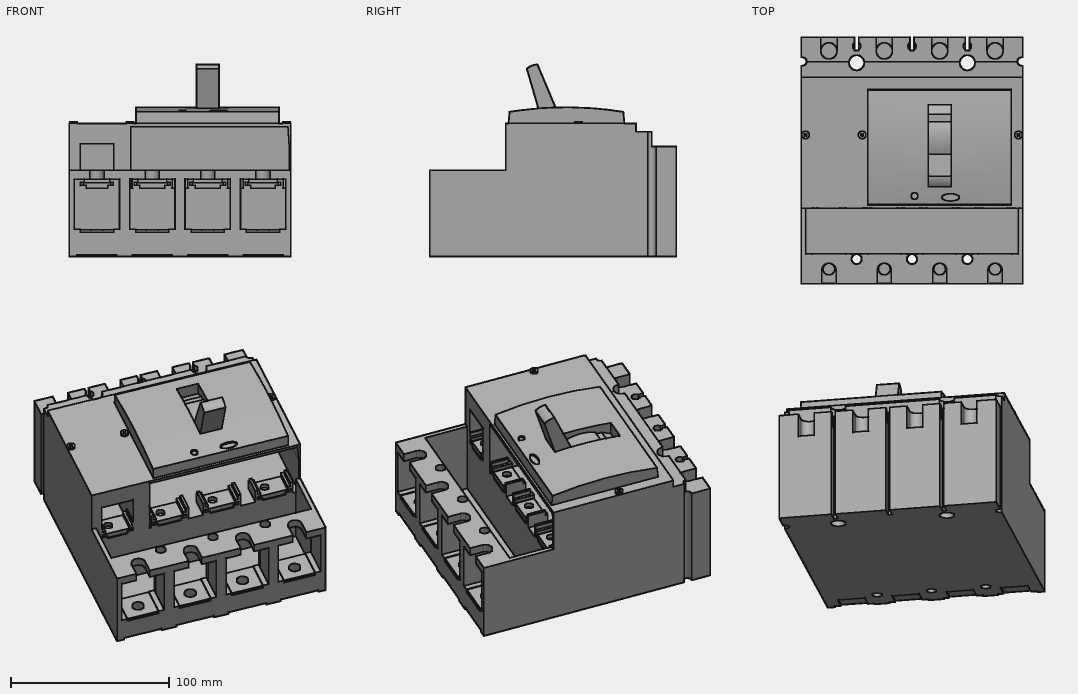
import cadquery as cq
import math


WIDTH = 140.0
LENGTH = 156.0
TOTAL_HEIGHT = 121.57
FRONT_Y = -LENGTH / 2
REAR_Y = LENGTH / 2
SHELF_Z = 54.7
BODY_TOP_Z = 84.2
STEP_Z = 79.1
REAR_SHELF_Z = 69.8
BODY_FRONT_Y = -30.0
STEP_Y = 52.6
REAR_WALL_Y = 62.5

POLE_PITCH = 35.0
POLE_COUNT = 4
POLE_X = [POLE_PITCH * (i - (POLE_COUNT - 1) / 2) for i in range(POLE_COUNT)]
BETWEEN_POLES_X = [x + POLE_PITCH / 2 for x in POLE_X[:-1]]

WELL_WIDTH = 134.0
WELL_FRONT_Y = -59.0
WELL_FLOOR_Z = 5.0
POCKET_FLOOR_Z = 17.4
POCKET_WIDTH = 28.4
POCKET_TOP_Z = 49.0
ACCESS_SLOT_RADIUS = 4.5
ACCESS_SLOT_Y = -69.4
SHELF_HOLE_RADIUS = 3.1
SHELF_HOLE_Y = -62.3
LUG_WIDTH = 21.0
LUG_SEAT_Z = 15.5
LUG_TOP_Z = 16.9
LUG_SETBACK = 0.5
LUG_HOLE_RADIUS = 3.7
LUG_HOLE_Y = -68.6
LUG_HOLE_DEPTH = 8.0
FOOT_RELIEF_HEIGHT = 1.3
FOOT_RELIEF_WIDE = 25.2
FOOT_RELIEF_WIDE_DEPTH = 1.5
FOOT_RELIEF_NARROW = 17.6
FOOT_RELIEF_NARROW_DEPTH = 12.0

CAVITY_FLOOR_Z = 43.3
CAVITY_DEPTH = 40.0
SINGLE_OPENING_WIDTH = 21.0
SINGLE_OPENING_TOP_Z = 71.4
WIDE_OPENING_LEFT_X = -31.0
WIDE_OPENING_TOP_Z = 82.2
WIDE_OPENING_TOP_RIGHT_X = 68.2
WIDE_OPENING_RIGHT_X = 69.0
WIDE_OPENING_SLOPE_Z = 70.2

CRADLE_HALF = 12.6
CRADLE_INNER_HALF = 10.9
CRADLE_TOP_Z = 52.9
LEDGE_INNER_HALF = 9.1
LEDGE_TOP_Z = 49.8
FIRST_CRADLE_NARROWING = 1.0
WALL_DEPTH = 11.8
CRADLE_DEPTH = 13.4
GROOVE_HALF = 11.3
GROOVE_TOP_Z = 47.0
GROOVE_FLOOR_Z = 45.1
TAB_HALF = 7.8
PLATE_HALF = 9.7
PLATE_TOP_Z = 46.9
PLATE_SETBACK = 0.6
PLATE_HOLE_RADIUS = 2.7
PLATE_HOLE_OFFSET_X = -3.7
PLATE_HOLE_Y = -22.5
PLATE_HOLE_DEPTH = 3.0

REAR_SLOT_RADIUS = 5.1
REAR_SLOT_Y = 69.3
REAR_SLOT_DEPTH = 15.0
REAR_SCREW_DEPTH = 10.0
KEYHOLE_RADIUS = 2.6
KEYHOLE_Y = 72.3
KEYHOLE_DEPTH = 8.0
KEYHOLE_SLIT_WIDTH = 2.5
MOUNT_HOLE_RADIUS = 4.75
MOUNT_HOLE_X = POLE_PITCH
MOUNT_HOLE_Y = 61.8
SIDE_NOTCH_RADIUS = 2.6
SIDE_NOTCH_INSET = 0.7
SIDE_NOTCH_Y = 62.6

COVER_X = 17.4
COVER_WIDTH = 90.6
COVER_Y = 8.5
COVER_LENGTH = 73.4
COVER_DRAFT = 0.7
COVER_EDGE_Z = 91.6
COVER_CROWN_Z = 94.5
HANDLE_X = 17.5
HANDLE_WIDTH = 14.4
HANDLE_SLOT_FRONT_Y = -9.0
HANDLE_SLOT_REAR_Y = 35.4
LEVER_ROOT_FRONT_Y = -7.9
DRUM_Y = 14.3
DRUM_TOP_Z = 90.7
DRUM_HALF_LENGTH = 10.3
DRUM_EDGE_Z = 88.8
RAMP_TOP_Z = 87.2
RAMP_TOP_Y = 29.1
TIP_REAR = (-9.8, TOTAL_HEIGHT)
TIP_MIDDLE = (-13.4, 120.8)
TIP_FRONT = (-16.6, 118.8)
BUTTON_X = 1.6
BUTTON_Y = -22.4
BUTTON_RADIUS = 2.1
WINDOW_X = 24.4
WINDOW_Y = -23.3
WINDOW_LENGTH = 11.0
WINDOW_WIDTH = 4.6
COVER_RECESS_DEPTH = 1.0
SCREW_X = [-67.3, -31.5, 67.3]
SCREW_Y = 16.2
SCREW_RADIUS = 2.4
SCREW_HEIGHT = 1.2
SOCKET_RADIUS = 0.8


def box(x0, x1, y0, y1, z0, z1):
    """Axis-aligned block between two opposite corners."""
    return cq.Workplane("XY").box(x1 - x0, y1 - y0, z1 - z0, centered=False).translate((x0, y0, z0))


def centred_box(x, half_width, y0, y1, z0, z1):
    """Block symmetric about a YZ plane at x."""
    return box(x - half_width, x + half_width, y0, y1, z0, z1)


def rod(x, y, radius, z0, z1):
    """Vertical cylinder."""
    return cq.Workplane("XY").circle(radius).extrude(z1 - z0).translate((x, y, z0))


def side_plane(x):
    """YZ sketch plane at x, extruding toward +X."""
    return cq.Workplane("YZ", origin=(x, 0, 0))


def housing():
    outline = [
        (FRONT_Y, 0),
        (REAR_Y, 0),
        (REAR_Y, REAR_SHELF_Z),
        (REAR_WALL_Y, REAR_SHELF_Z),
        (REAR_WALL_Y, STEP_Z),
        (STEP_Y, STEP_Z),
        (STEP_Y, BODY_TOP_Z),
        (BODY_FRONT_Y, BODY_TOP_Z),
        (BODY_FRONT_Y, SHELF_Z),
        (FRONT_Y, SHELF_Z),
    ]
    return side_plane(-WIDTH / 2).polyline(outline).close().extrude(WIDTH)


def cut_front_terminals(body):
    """Well behind the shelf plus, for each pole, a pocket, screwdriver slot, lug and foot relief."""
    well_half = WELL_WIDTH / 2
    body = body.cut(box(-well_half, well_half, WELL_FRONT_Y, BODY_FRONT_Y, WELL_FLOOR_Z, SHELF_Z))
    for x in POLE_X:
        body = body.cut(centred_box(x, POCKET_WIDTH / 2, FRONT_Y, WELL_FRONT_Y, POCKET_FLOOR_Z, POCKET_TOP_Z))
        body = body.cut(rod(x, ACCESS_SLOT_Y, ACCESS_SLOT_RADIUS, POCKET_TOP_Z, SHELF_Z))
        body = body.cut(
            centred_box(x, ACCESS_SLOT_RADIUS, FRONT_Y, ACCESS_SLOT_Y, POCKET_TOP_Z, SHELF_Z)
        )
        lug_half = LUG_WIDTH / 2
        lug_front_y = FRONT_Y + LUG_SETBACK
        body = body.cut(centred_box(x, lug_half, FRONT_Y, lug_front_y, LUG_SEAT_Z, POCKET_FLOOR_Z))
        body = body.cut(centred_box(x, lug_half, lug_front_y, WELL_FRONT_Y, LUG_TOP_Z, POCKET_FLOOR_Z))
        body = body.cut(rod(x, LUG_HOLE_Y, LUG_HOLE_RADIUS, LUG_TOP_Z - LUG_HOLE_DEPTH, LUG_TOP_Z))
        for width, depth in (
            (FOOT_RELIEF_WIDE, FOOT_RELIEF_WIDE_DEPTH),
            (FOOT_RELIEF_NARROW, FOOT_RELIEF_NARROW_DEPTH),
        ):
            body = body.cut(centred_box(x, width / 2, FRONT_Y, FRONT_Y + depth, 0, FOOT_RELIEF_HEIGHT))
    for x in BETWEEN_POLES_X:
        body = body.cut(rod(x, SHELF_HOLE_Y, SHELF_HOLE_RADIUS, 0, SHELF_Z))
    return body


def cut_openings(body):
    """One narrow opening for the first pole and one wide opening shared by the other three."""
    back_y = BODY_FRONT_Y + CAVITY_DEPTH
    body = body.cut(
        centred_box(
            POLE_X[0], SINGLE_OPENING_WIDTH / 2, BODY_FRONT_Y, back_y, CAVITY_FLOOR_Z, SINGLE_OPENING_TOP_Z
        )
    )
    outline = [
        (WIDE_OPENING_LEFT_X, CAVITY_FLOOR_Z),
        (WIDE_OPENING_RIGHT_X, CAVITY_FLOOR_Z),
        (WIDE_OPENING_RIGHT_X, WIDE_OPENING_SLOPE_Z),
        (WIDE_OPENING_TOP_RIGHT_X, WIDE_OPENING_TOP_Z),
        (WIDE_OPENING_LEFT_X, WIDE_OPENING_TOP_Z),
    ]
    wide = cq.Workplane("XZ", origin=(0, back_y, 0)).polyline(outline).close().extrude(CAVITY_DEPTH)
    return body.cut(wide)


def add_cradle(body, x, narrowing):
    """Stepped U-shaped cradle holding a terminal plate with a screw hole.

    Every half width is reduced by `narrowing`.
    """
    y0 = BODY_FRONT_Y
    y1 = y0 + CRADLE_DEPTH
    cradle_half = CRADLE_HALF - narrowing
    tab_half = TAB_HALF - narrowing
    body = body.union(centred_box(x, cradle_half, y0, y1, CAVITY_FLOOR_Z, LEDGE_TOP_Z))
    body = body.union(centred_box(x, cradle_half, y0, y0 + WALL_DEPTH, LEDGE_TOP_Z, CRADLE_TOP_Z))
    for half_width, z0, z1 in (
        (CRADLE_INNER_HALF - narrowing, LEDGE_TOP_Z, CRADLE_TOP_Z),
        (LEDGE_INNER_HALF - narrowing, GROOVE_TOP_Z, LEDGE_TOP_Z),
        (GROOVE_HALF - narrowing, GROOVE_FLOOR_Z, GROOVE_TOP_Z),
        (tab_half, CAVITY_FLOOR_Z, GROOVE_FLOOR_Z),
    ):
        body = body.cut(centred_box(x, half_width, y0, y1, z0, z1))

    plate_y0 = y0 + PLATE_SETBACK
    plate = centred_box(x, PLATE_HALF - narrowing, plate_y0, y1, GROOVE_FLOOR_Z, PLATE_TOP_Z)
    plate = plate.union(centred_box(x, tab_half, plate_y0, y1, CAVITY_FLOOR_Z, GROOVE_FLOOR_Z))
    hole_floor_z = PLATE_TOP_Z - PLATE_HOLE_DEPTH
    hole = rod(x + PLATE_HOLE_OFFSET_X, PLATE_HOLE_Y, PLATE_HOLE_RADIUS, hole_floor_z, PLATE_TOP_Z)
    return body.union(plate.cut(hole))


def cut_rear(body):
    """Terminal slots, keyholes, mounting holes and side notches at the line end."""
    for x in POLE_X:
        slot_floor = REAR_SHELF_Z - REAR_SLOT_DEPTH
        body = body.cut(rod(x, REAR_SLOT_Y, REAR_SLOT_RADIUS, slot_floor - REAR_SCREW_DEPTH, REAR_SHELF_Z))
        body = body.cut(
            centred_box(x, REAR_SLOT_RADIUS, REAR_SLOT_Y, REAR_Y, slot_floor, REAR_SHELF_Z)
        )
    for x in BETWEEN_POLES_X:
        slit_end = KEYHOLE_Y - KEYHOLE_RADIUS
        body = body.cut(rod(x, KEYHOLE_Y, KEYHOLE_RADIUS, REAR_SHELF_Z - KEYHOLE_DEPTH, REAR_SHELF_Z))
        body = body.cut(centred_box(x, KEYHOLE_SLIT_WIDTH / 2, slit_end, REAR_Y, 0, REAR_SHELF_Z))
    for side in (-1, 1):
        body = body.cut(rod(side * MOUNT_HOLE_X, MOUNT_HOLE_Y, MOUNT_HOLE_RADIUS, 0, STEP_Z))
        notch_x = side * (WIDTH / 2 - SIDE_NOTCH_INSET)
        body = body.cut(rod(notch_x, SIDE_NOTCH_Y, SIDE_NOTCH_RADIUS, 0, STEP_Z))
        body = body.cut(
            centred_box(
                side * WIDTH / 2,
                SIDE_NOTCH_INSET,
                SIDE_NOTCH_Y - SIDE_NOTCH_RADIUS,
                SIDE_NOTCH_Y + SIDE_NOTCH_RADIUS,
                0,
                STEP_Z,
            )
        )
    return body


def cover_height(y):
    """Height of the crowned cover surface at y."""
    half = COVER_LENGTH / 2 - COVER_DRAFT
    rise = COVER_CROWN_Z - COVER_EDGE_Z
    radius = (half**2 + rise**2) / (2 * rise)
    return COVER_CROWN_Z - radius + math.sqrt(radius**2 - (y - COVER_Y) ** 2)


def cover():
    half = COVER_LENGTH / 2
    top_half = half - COVER_DRAFT
    shape = (
        side_plane(COVER_X - COVER_WIDTH / 2)
        .moveTo(COVER_Y - half, BODY_TOP_Z)
        .lineTo(COVER_Y + half, BODY_TOP_Z)
        .lineTo(COVER_Y + top_half, COVER_EDGE_Z)
        .threePointArc((COVER_Y, COVER_CROWN_Z), (COVER_Y - top_half, COVER_EDGE_Z))
        .close()
        .extrude(COVER_WIDTH)
    )
    slot = centred_box(
        HANDLE_X, HANDLE_WIDTH / 2, HANDLE_SLOT_FRONT_Y, HANDLE_SLOT_REAR_Y, BODY_TOP_Z, COVER_CROWN_Z
    )
    shape = shape.cut(slot)
    button_floor = cover_height(BUTTON_Y) - COVER_RECESS_DEPTH
    shape = shape.cut(rod(BUTTON_X, BUTTON_Y, BUTTON_RADIUS, button_floor, COVER_CROWN_Z))
    window = (
        cq.Workplane("XY", origin=(WINDOW_X, WINDOW_Y, cover_height(WINDOW_Y) - COVER_RECESS_DEPTH))
        .ellipse(WINDOW_LENGTH / 2, WINDOW_WIDTH / 2)
        .extrude(COVER_CROWN_Z)
    )
    return shape.cut(window)


def handle():
    """Toggle lever leaning toward -Y, on a drum that closes the slot beneath it."""
    drum_front_y = DRUM_Y - DRUM_HALF_LENGTH
    drum_rear_y = DRUM_Y + DRUM_HALF_LENGTH
    left = side_plane(HANDLE_X - HANDLE_WIDTH / 2)
    drum = (
        left.moveTo(HANDLE_SLOT_FRONT_Y, BODY_TOP_Z)
        .lineTo(HANDLE_SLOT_REAR_Y, BODY_TOP_Z)
        .lineTo(RAMP_TOP_Y, RAMP_TOP_Z)
        .lineTo(drum_rear_y, RAMP_TOP_Z)
        .lineTo(drum_rear_y, DRUM_EDGE_Z)
        .threePointArc((DRUM_Y, DRUM_TOP_Z), (drum_front_y, DRUM_EDGE_Z))
        .lineTo(HANDLE_SLOT_FRONT_Y, DRUM_EDGE_Z)
        .close()
        .extrude(HANDLE_WIDTH)
    )
    lever = (
        left.moveTo(drum_front_y, DRUM_EDGE_Z)
        .lineTo(*TIP_REAR)
        .threePointArc(TIP_MIDDLE, TIP_FRONT)
        .lineTo(LEVER_ROOT_FRONT_Y, DRUM_EDGE_Z)
        .close()
        .extrude(HANDLE_WIDTH)
    )
    return drum.union(lever)


def cover_screw(x):
    """Raised screw head with a round socket."""
    top_z = BODY_TOP_Z + SCREW_HEIGHT
    head = rod(x, SCREW_Y, SCREW_RADIUS, BODY_TOP_Z, top_z)
    return head.cut(rod(x, SCREW_Y, SOCKET_RADIUS, BODY_TOP_Z, top_z))


body = housing()
body = cut_front_terminals(body)
body = cut_openings(body)
body = add_cradle(body, POLE_X[0], FIRST_CRADLE_NARROWING)
for pole_x in POLE_X[1:]:
    body = add_cradle(body, pole_x, 0)
body = cut_rear(body)
body = body.union(cover())
body = body.union(handle())
for screw_x in SCREW_X:
    body = body.union(cover_screw(screw_x))

result = body